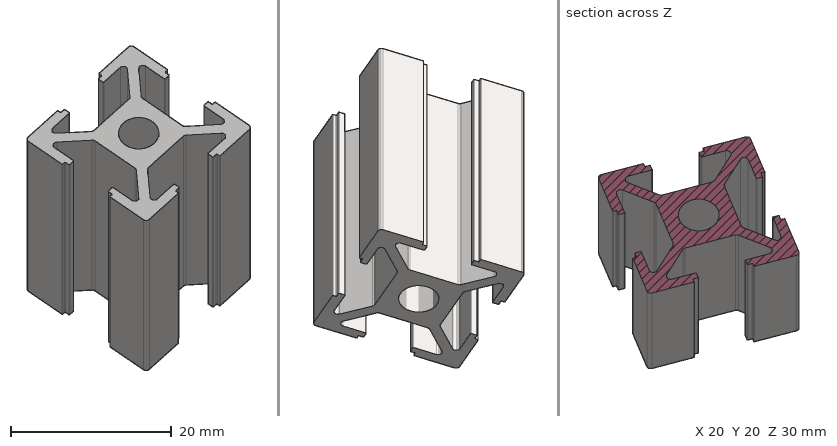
import cadquery as cq
import math

length = 30.0
side = length * 2 / 3
corner_radius = 0.5
core_width = 9.0
bore_diameter = 5.0

slot_mouth_width = 7.8
slot_throat_width = 6.4
mouth_depth = 0.5
lip_thickness = 1.38
web_thickness = 1.4
slot_corner_radius = 0.5
web_root_radius = 0.5
lip_edge_radius = 0.1

half_side = side / 2
half_core = core_width / 2
mouth_floor = half_side - mouth_depth
lip_underside = half_side - lip_thickness
web_offset = web_thickness / math.sqrt(2)
web_root = half_core - web_offset


def make_bar():
    """Solid square bar with rounded long edges."""
    bar = cq.Workplane("XY").rect(side, side).extrude(length)
    return bar.edges("|Z").fillet(corner_radius)


def make_slot():
    """Cutter for the T-slot on the +Y side."""
    outer_half = lip_underside - web_offset
    cavity = (
        cq.Workplane("XY")
        .polyline([
            (-web_root, half_core),
            (web_root, half_core),
            (outer_half, lip_underside),
            (-outer_half, lip_underside),
        ])
        .close()
        .extrude(length)
        .edges("|Z and >Y")
        .fillet(slot_corner_radius)
    )
    throat = (
        cq.Workplane("XY")
        .center(0, (half_core + half_side) / 2)
        .rect(slot_throat_width, half_side - half_core)
        .extrude(length)
    )
    mouth = (
        cq.Workplane("XY")
        .center(0, (mouth_floor + half_side) / 2)
        .rect(slot_mouth_width, mouth_depth)
        .extrude(length)
    )
    return cavity.union(throat).union(mouth)


def make_bore():
    """Cutter for the round through hole along the axis."""
    return cq.Workplane("XY").circle(bore_diameter / 2).extrude(length)


def round_edges(body, corners, radius):
    """Round the long edges at the (x, y) corners of the +Y slot and their mirrors, in all four slots."""
    for quarter_turn in range(4):
        angle = math.radians(90 * quarter_turn)
        for x, y in corners:
            for slot_x in (-x, x):
                edge_middle = (
                    slot_x * math.cos(angle) - y * math.sin(angle),
                    slot_x * math.sin(angle) + y * math.cos(angle),
                    length / 2,
                )
                body = body.edges(cq.selectors.NearestToPointSelector(edge_middle)).fillet(radius)
    return body


result = make_bar().cut(make_bore())
slot = make_slot()
for quarter_turn in range(4):
    result = result.cut(slot.rotate((0, 0, 0), (0, 0, 1), 90 * quarter_turn))

web_root_corners = [(web_root, half_core)]
lip_corners = [
    (slot_mouth_width / 2, half_side),
    (slot_mouth_width / 2, mouth_floor),
    (slot_throat_width / 2, mouth_floor),
    (slot_throat_width / 2, lip_underside),
]
result = round_edges(result, web_root_corners, web_root_radius)
result = round_edges(result, lip_corners, lip_edge_radius)